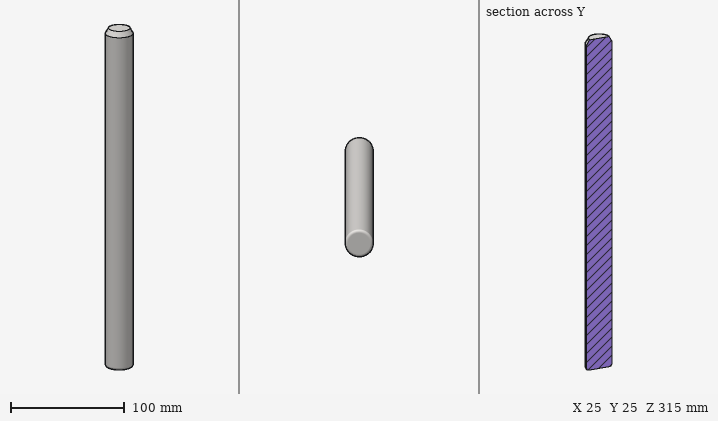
import cadquery as cq

length = 315.0
diameter = 25.0
top_chamfer_height = 5.0
top_chamfer_inset = 2.8
bottom_round = 2.5

radius = diameter / 2

half_section = (
    cq.Workplane("XZ")
    .lineTo(radius - bottom_round, 0)
    .radiusArc((radius, bottom_round), -bottom_round)
    .lineTo(radius, length - top_chamfer_height)
    .lineTo(radius - top_chamfer_inset, length)
    .lineTo(0, length)
    .close()
)
result = half_section.revolve(360, (0, 0, 0), (0, 1, 0))